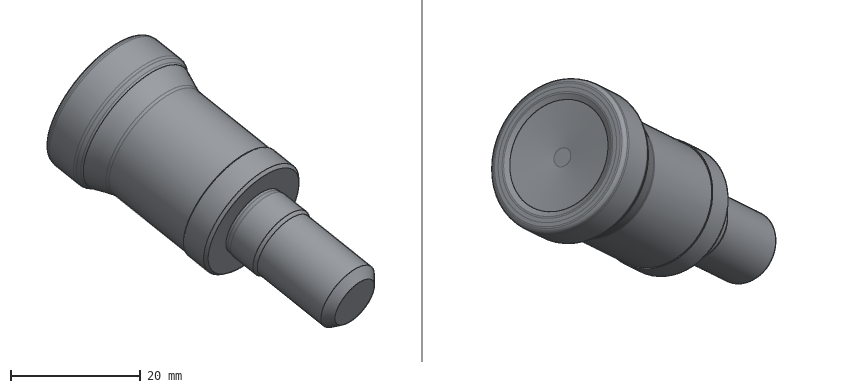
import cadquery as cq

total_length = 55.0

ring_radius = 12.5
ring_length = 7.7
rim_inner_radius = 10.9
rim_outer_radius = 11.55
crown_radius = 11.8
crown_setback = 0.05
front_round_end = 0.7
front_round_radius = 12.45
ring_land_start = 1.05
ring_land_end = 6.25
rear_round_end = 6.7
rear_round_radius = 12.3
rear_bevel_end = 7.3
rear_bevel_radius = 11.95
ring_rear_radius = 23.6 / 2
lip_radius = 10.2
lip_setback = 0.03
mouth_radius = 9.9
mouth_start = 0.05
window_radius = 9.0
seat_depth = 0.45
bore_radius = 10.9
front_bulge = (-0.1, 0.1)
rear_bulge = (0.03, 0.04)

dish_depth = 1.0
dish_floor_radius = 1.55
barrel_radius = 20.6 / 2
flare_end = 11.35
flare_end_radius = 10.45
barrel_start = 11.8
collar_radius = 21.0 / 2
collar_start = 28.15
collar_end = 33.05
collar_chamfer = 0.5
neck_radius = 6.1
neck_end = 33.5
shoulder_radius = 12.5 / 2
shoulder_start = 34.2
shoulder_end = 39.05
rod_radius = 11.75 / 2
rod_start = 39.65
rod_chamfer = 1.55


def mid_bulge(start, end, bulge):
    """Chord midpoint shifted by bulge, a pair of offsets along X and radially."""
    return ((start[0] + end[0]) / 2 + bulge[0], (start[1] + end[1]) / 2 + bulge[1])


def turned(profile):
    """Revolve a closed (x, radius) profile a full turn about the X axis."""
    return profile.close().revolve(360, (0, 0, 0), (1, 0, 0))


def make_ring():
    """Rounded ring whose tapered front lip holds the body's head."""
    front_start = (crown_setback, crown_radius)
    front_end = (front_round_end, front_round_radius)
    rear_start = (ring_land_end, ring_radius)
    rear_end = (rear_round_end, rear_round_radius)
    profile = (
        cq.Workplane("XY")
        .moveTo(0, rim_inner_radius)
        .lineTo(0, rim_outer_radius)
        .lineTo(*front_start)
        .threePointArc(mid_bulge(front_start, front_end, front_bulge), front_end)
        .lineTo(ring_land_start, ring_radius)
        .lineTo(*rear_start)
        .threePointArc(mid_bulge(rear_start, rear_end, rear_bulge), rear_end)
        .lineTo(rear_bevel_end, rear_bevel_radius)
        .lineTo(ring_length, ring_rear_radius)
        .lineTo(ring_length, bore_radius)
        .lineTo(seat_depth, bore_radius)
        .lineTo(seat_depth, window_radius)
        .lineTo(mouth_start, mouth_radius)
        .lineTo(lip_setback, lip_radius)
    )
    return turned(profile)


def make_body():
    """Dished head inside the ring, flared barrel, collar and stepped rod."""
    profile = (
        cq.Workplane("XY")
        .moveTo(seat_depth + dish_depth, 0)
        .lineTo(seat_depth + dish_depth, dish_floor_radius)
        .lineTo(seat_depth, window_radius)
        .lineTo(seat_depth, bore_radius)
        .lineTo(ring_length, bore_radius)
        .lineTo(ring_length, ring_rear_radius)
        .lineTo(flare_end, flare_end_radius)
        .lineTo(barrel_start, barrel_radius)
        .lineTo(collar_start, barrel_radius)
        .lineTo(collar_start, collar_radius)
        .lineTo(collar_end - collar_chamfer, collar_radius)
        .lineTo(collar_end, collar_radius - collar_chamfer)
        .lineTo(collar_end, neck_radius)
        .lineTo(neck_end, neck_radius)
        .lineTo(shoulder_start, shoulder_radius)
        .lineTo(shoulder_end, shoulder_radius)
        .lineTo(rod_start, rod_radius)
        .lineTo(total_length - rod_chamfer, rod_radius)
        .lineTo(total_length, rod_radius - rod_chamfer)
        .lineTo(total_length, 0)
    )
    return turned(profile)


ring = make_ring()
body = make_body()
result = cq.Compound.makeCompound([ring.val(), body.val()])